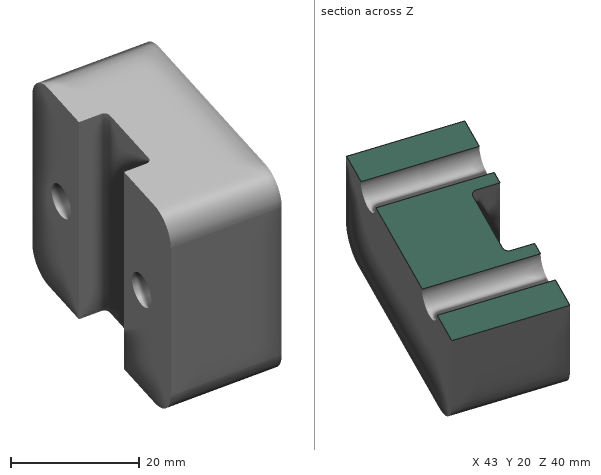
import cadquery as cq

width = 43.0
depth = 20.0
height = 40.0
corner_radius = 5.0

channel_width = 14.0
channel_depth = 5.0
channel_fillet = 1.0

hole_diameter = 6.0
hole_spacing = 25.0


def make_block():
    """Block centred on the origin, with its four edges along Y rounded."""
    return cq.Workplane("XY").box(width, depth, height).edges("|Y").fillet(corner_radius)


def make_channel():
    """Cutter for the channel, with rounded edges along its floor."""
    channel_center_y = (channel_depth - depth) / 2
    return (
        cq.Workplane("XY")
        .box(channel_width, channel_depth, height)
        .edges("|Z and >Y")
        .fillet(channel_fillet)
        .translate((0, channel_center_y, 0))
    )


def make_holes():
    """Cutters for the pair of through holes."""
    hole_centers = [(side * hole_spacing / 2, 0) for side in (-1, 1)]
    return (
        cq.Workplane("XZ")
        .pushPoints(hole_centers)
        .circle(hole_diameter / 2)
        .extrude(depth / 2, both=True)
    )


result = make_block().cut(make_channel()).cut(make_holes())